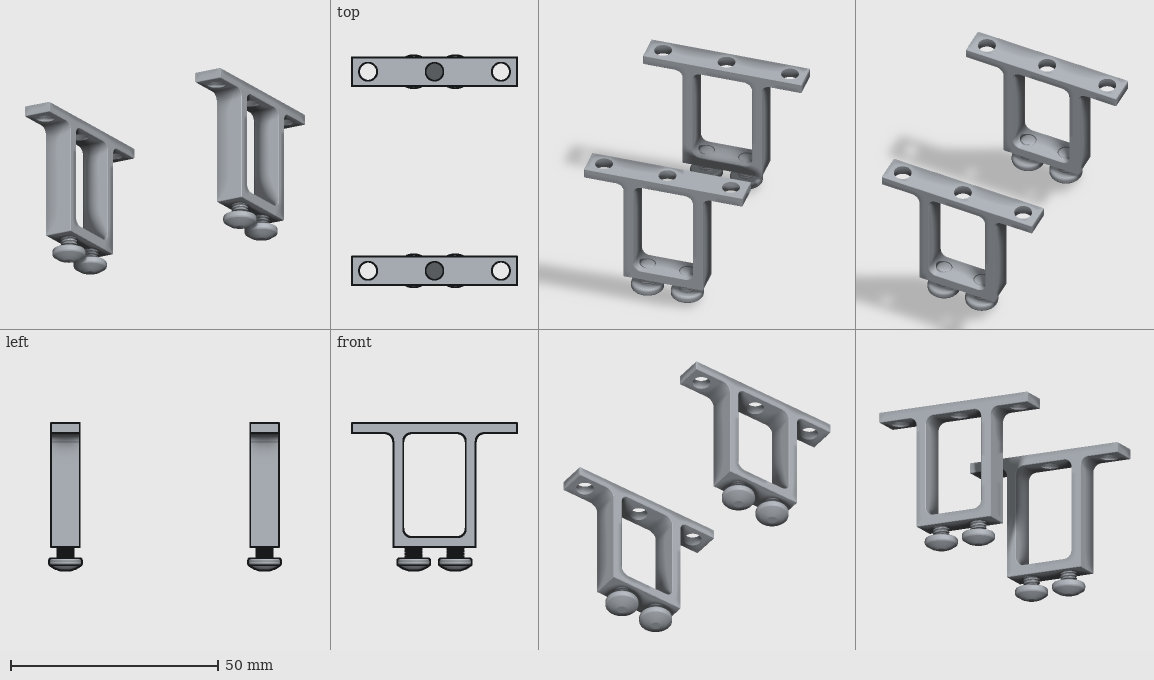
import cadquery as cq
plate_length = 40.0
bracket_depth = 7.0
bracket_height = 30.0
wall = 2.5
frame_width = 20.0
corner_radius = 2.0
edge_chamfer = 0.1
plate_hole_diameter = 4.3
plate_hole_offset = 16.0

screw_spacing = 10.0
thread_diameter = 4.0
thread_turns = 7.3
thread_depth = 0.4
thread_root_width = 0.6
thread_crest_width = 0.15
thread_sink = 0.1
tip_chamfer = 0.3
shank_gap = 2.6
head_diameter = 8.0
head_height = 3.0
head_rim_height = 1.55
head_top_fillet = 0.7
head_dome_fillet = 0.55
head_flat_diameter = 2.45
head_dome_radius = 6.15

overall_depth = 56.0
bracket_spacing = overall_depth - head_diameter

thread_radius = thread_diameter / 2
core_radius = thread_radius - thread_depth
shank_length = shank_gap + wall
thread_pitch = shank_length / thread_turns


def make_bracket():
    plate = cq.Workplane("XY").box(plate_length, bracket_depth, wall, centered=(True, True, False))
    plate = plate.translate((0, 0, bracket_height - wall))
    frame = cq.Workplane("XY").box(frame_width, bracket_depth, bracket_height, centered=(True, True, False))
    body = plate.union(frame)

    plate_underside = bracket_height - wall
    joint_selector = cq.selectors.BoxSelector(
        (-frame_width / 2 - wall, -bracket_depth, plate_underside - wall / 2),
        (frame_width / 2 + wall, bracket_depth, plate_underside + wall / 2),
    )
    body = body.edges("|Y").edges(joint_selector).fillet(corner_radius)

    window = cq.Workplane("XY").box(
        frame_width - 2 * wall,
        bracket_depth,
        bracket_height - 2 * wall,
        centered=(True, True, False),
    )
    window = window.edges("|Y").fillet(corner_radius).translate((0, 0, wall))
    body = body.cut(window)

    plate_ends = body.edges("|Y").edges("<X or >X")
    frame_bottom = body.edges("|Y").edges("<Z")
    body = body.newObject(plate_ends.vals() + frame_bottom.vals()).chamfer(edge_chamfer)
    body = body.faces("<Y or >Y").edges().chamfer(edge_chamfer)

    plate_holes = (
        cq.Workplane("XY", origin=(0, 0, plate_underside))
        .pushPoints([(-plate_hole_offset, 0), (0, 0), (plate_hole_offset, 0)])
        .circle(plate_hole_diameter / 2)
        .extrude(wall)
    )

    screw_holes = (
        cq.Workplane("XY")
        .pushPoints([(-screw_spacing / 2, 0), (screw_spacing / 2, 0)])
        .circle(thread_radius)
        .extrude(wall + corner_radius)
    )
    return body.cut(plate_holes).cut(screw_holes)


def make_thread():
    sunk_radius = core_radius - thread_sink
    helix_height = shank_length + 2 * thread_pitch
    helix = cq.Wire.makeHelix(thread_pitch, helix_height, core_radius)
    ridge = (
        cq.Workplane("XZ")
        .moveTo(sunk_radius, -thread_root_width / 2)
        .lineTo(thread_radius, -thread_crest_width / 2)
        .lineTo(thread_radius, thread_crest_width / 2)
        .lineTo(sunk_radius, thread_root_width / 2)
        .close()
        .sweep(helix, isFrenet=True)
    )
    return ridge.translate((0, 0, -thread_pitch))


def make_screw():
    core = cq.Workplane("XY").circle(core_radius).extrude(shank_length)
    trim_radius = thread_radius + tip_chamfer
    trim = cq.Workplane("XY").circle(trim_radius).extrude(shank_length)
    trim = trim.faces(">Z").chamfer(2 * tip_chamfer)
    shank = core.union(make_thread()).intersect(trim)

    head_radius = head_diameter / 2
    flat_radius = head_flat_diameter / 2
    head = (
        cq.Workplane("XZ")
        .lineTo(head_radius, 0)
        .lineTo(head_radius, -head_rim_height)
        .radiusArc((flat_radius, -head_height), head_dome_radius)
        .lineTo(0, -head_height)
        .close()
        .revolve(360, (0, 0, 0), (0, 1, 0))
    )
    rim_edge = cq.selectors.BoxSelector(
        (-flat_radius, -flat_radius, -(head_rim_height + head_height) / 2),
        (flat_radius, flat_radius, -head_rim_height / 2),
    )
    head = head.edges(rim_edge).fillet(head_dome_fillet)
    head = head.faces(">Z").edges().fillet(head_top_fillet)
    return shank.union(head).translate((0, 0, -shank_gap))


bracket = make_bracket().solids()
screw = make_screw().solids()

brackets = []
screws = []
for y in (-bracket_spacing / 2, bracket_spacing / 2):
    brackets.append(bracket.translate((0, y, 0)).val())
    for x, turn in ((-screw_spacing / 2, 0), (screw_spacing / 2, 180)):
        turned_screw = screw.rotate((0, 0, 0), (0, 0, 1), turn)
        screws.append(turned_screw.translate((x, y, 0)).val())

result = cq.Compound.makeCompound([*brackets, *screws])